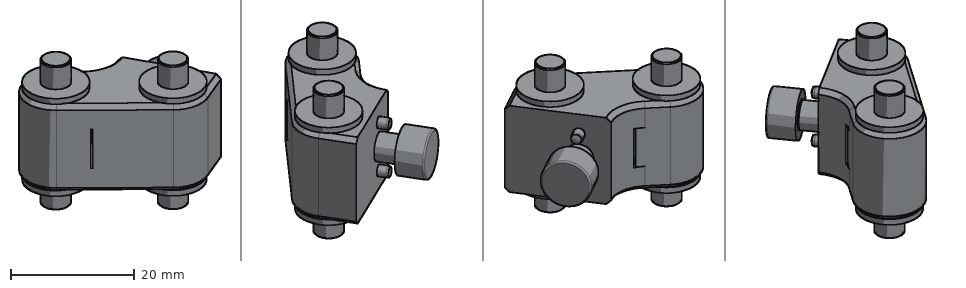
import cadquery as cq
import math

overall_length = 29.9
pivot_spacing = 19.05
link_angle = 20.0
body_height = 16.2
body_chamfer = 0.85
face_offset = 6.5
hollow_radius = 6.3

knuckle_height = 7.25
gap_width = 0.33
gap_end = 5.98

pin_diameter = 5.02
pin_length = 27.0
pin_chamfer = 0.2
washer_diameter = 11.0
washer_span = 18.3

screw_offset = 6.5
screw_length = 9.0
shank_diameter = 5.0
head_diameter = 8.52
head_length = 5.0
head_fillet = 0.3
neck_flare = 0.12
neck_length = 0.2

dowel_diameter = 2.0
dowel_spacing = 9.0
dowel_straight = 1.55
dowel_taper_length = 0.4
dowel_taper_depth = 0.105
dowel_dome_height = 0.225

angle = math.radians(link_angle)
sine = math.sin(angle)
cosine = math.cos(angle)
raised_x = pivot_spacing * cosine
raised_y = pivot_spacing * sine
end_radius = (overall_length - raised_x) / 2
face_y = raised_y + face_offset
screw_x = raised_x - screw_offset


def on_circle(center_x, center_y, radius, degrees):
    direction = math.radians(degrees)
    return (center_x + radius * math.cos(direction), center_y + radius * math.sin(direction))


def make_body():
    hollow_x = (face_y * cosine - end_radius - hollow_radius) / sine
    upper = 90 + link_angle
    lower = 270 + link_angle
    middle = (lower + 360) / 2
    outline = (
        cq.Workplane("XY", origin=(0, 0, -body_height / 2))
        .moveTo(*on_circle(0, 0, end_radius, upper))
        .threePointArc((-end_radius, 0), on_circle(0, 0, end_radius, lower))
        .lineTo(*on_circle(raised_x, raised_y, end_radius, lower))
        .threePointArc(
            on_circle(raised_x, raised_y, end_radius, middle),
            (raised_x + end_radius, raised_y),
        )
        .lineTo(raised_x + end_radius, face_y)
        .lineTo(hollow_x + hollow_radius, face_y)
        .threePointArc(
            on_circle(hollow_x, face_y, hollow_radius, middle),
            on_circle(hollow_x, face_y, hollow_radius, lower),
        )
        .close()
    )
    body = outline.extrude(body_height)
    mounting_face_edges = body.faces(">Y").edges().vals()
    rim = [
        edge
        for edge in body.faces("|Z").edges().vals()
        if not any(edge.isSame(face_edge) for face_edge in mounting_face_edges)
    ]
    return body.newObject(rim).chamfer(body_chamfer)


def make_gap():
    reach = 2 * end_radius
    profile = (
        cq.Workplane("XY", origin=(0, 0, -knuckle_height / 2))
        .moveTo(0, end_radius)
        .lineTo(gap_end - gap_width, end_radius)
        .lineTo(gap_end - gap_width, -reach)
        .lineTo(gap_end, -reach)
        .lineTo(gap_end, reach)
        .lineTo(0, reach)
        .close()
    )
    return profile.extrude(knuckle_height).rotate((0, 0, 0), (0, 0, 1), link_angle)


def make_pivot(x, y):
    pin = (
        cq.Workplane("XY")
        .circle(pin_diameter / 2)
        .extrude(pin_length / 2, both=True)
        .faces("|Z")
        .chamfer(pin_chamfer)
    )
    washers = cq.Workplane("XY").circle(washer_diameter / 2).extrude(washer_span / 2, both=True)
    core = cq.Workplane("XY").circle(washer_diameter / 2).extrude(body_height / 2, both=True)
    return pin.union(washers.cut(core)).translate((x, y, 0))


def revolve_on_face(profile, z):
    solid = profile.close().revolve(360, (0, 0, 0), (0, 1, 0))
    return solid.translate((screw_x, face_y, z))


def make_screw():
    shank_radius = shank_diameter / 2
    head_radius = head_diameter / 2
    head_base = screw_length - head_length
    profile = (
        cq.Workplane("XY")
        .lineTo(shank_radius, 0)
        .lineTo(shank_radius, head_base - neck_length)
        .lineTo(shank_radius + neck_flare, head_base)
        .lineTo(head_radius, head_base)
        .lineTo(head_radius, screw_length - head_fillet)
        .radiusArc((head_radius - head_fillet, screw_length), -head_fillet)
        .lineTo(0, screw_length)
    )
    return revolve_on_face(profile, 0)


def make_dowel(z):
    radius = dowel_diameter / 2
    tip_radius = radius - dowel_taper_depth
    dome_base = dowel_straight + dowel_taper_length
    dome_radius = (tip_radius**2 + dowel_dome_height**2) / (2 * dowel_dome_height)
    profile = (
        cq.Workplane("XY")
        .lineTo(radius, 0)
        .lineTo(radius, dowel_straight)
        .lineTo(tip_radius, dome_base)
        .radiusArc((0, dome_base + dowel_dome_height), -dome_radius)
    )
    return revolve_on_face(profile, z)


result = make_body().cut(make_gap())
for pivot_x, pivot_y in ((0, 0), (raised_x, raised_y)):
    result = result.union(make_pivot(pivot_x, pivot_y))
result = result.union(make_screw())
for side in (-1, 1):
    result = result.union(make_dowel(side * dowel_spacing / 2))